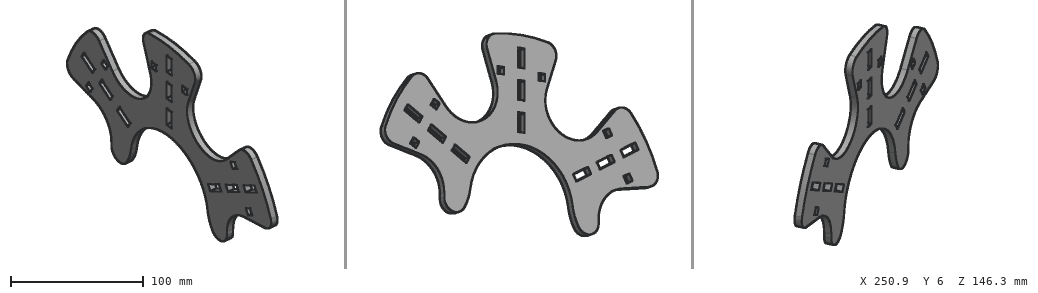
import cadquery as cq
import math

thickness = 6.0
arm_pitch = 60.0

outer_radius = 132.5
inner_radius = 47.5

corner_radius = 9.8
corner_angle = 10.5

scallop_radius = 27.0
scallop_distance = 98.0

foot_radius = 10.0
foot_drop = 3.8
flare_radius = 40.1

slot_width = 5.8
slot_length = 15.3
slot_pitch = 25.0
middle_slot_distance = 89.5
slot_distances = [middle_slot_distance + i * slot_pitch for i in (-1, 0, 1)]
square_size = 5.8
square_distance = 102.3
square_offset = 18.8


def polar(radius, angle):
    """Point at an angle in degrees, measured from +Z towards -X."""
    turn = math.radians(angle)
    return (-radius * math.sin(turn), radius * math.cos(turn))


def point_towards(start, target, length):
    """Point at a given length from start, in the direction of target."""
    scale = length / math.dist(start, target)
    return tuple(s + scale * (t - s) for s, t in zip(start, target))


def circle_crossing(center_a, radius_a, center_b, radius_b):
    """Crossing of two circles on the left of the line from a to b."""
    gap = math.dist(center_a, center_b)
    along = (gap**2 + radius_a**2 - radius_b**2) / (2 * gap)
    across = math.sqrt(radius_a**2 - along**2)
    ux = (center_b[0] - center_a[0]) / gap
    uz = (center_b[1] - center_a[1]) / gap
    return (center_a[0] + along * ux - across * uz, center_a[1] + along * uz + across * ux)


def flank_ends(corner, scallop, side):
    """Corner and scallop ends of their crossing tangent; side is +1 or -1."""
    heading = math.atan2(scallop[1] - corner[1], scallop[0] - corner[0])
    swing = math.acos((corner_radius + scallop_radius) / math.dist(corner, scallop))
    normal = heading + side * swing
    nx = math.cos(normal)
    nz = math.sin(normal)
    corner_end = (corner[0] + corner_radius * nx, corner[1] + corner_radius * nz)
    scallop_end = (scallop[0] - scallop_radius * nx, scallop[1] - scallop_radius * nz)
    return corner_end, scallop_end


def arc_to(path, center, start, end):
    """Add the shorter arc about center from start to end."""
    chord_middle = ((start[0] + end[0]) / 2, (start[1] + end[1]) / 2)
    middle = point_towards(center, chord_middle, math.dist(center, start))
    return path.threePointArc(middle, end)


def half_plate():
    """The -X half of the plate, closed along the Z axis."""
    origin = (0.0, 0.0)
    corner_distance = outer_radius - corner_radius
    top_corner = polar(corner_distance, corner_angle)
    side_upper_corner = polar(corner_distance, arm_pitch - corner_angle)
    side_lower_corner = polar(corner_distance, arm_pitch + corner_angle)
    upper_scallop = polar(scallop_distance, arm_pitch / 2)
    lower_scallop = polar(scallop_distance, 1.5 * arm_pitch)

    crown = (0.0, outer_radius)
    top_corner_start = polar(outer_radius, corner_angle)
    side_arc_start = polar(outer_radius, arm_pitch - corner_angle)
    side_arc_end = polar(outer_radius, arm_pitch + corner_angle)
    top_flank = flank_ends(top_corner, upper_scallop, -1)
    side_upper_flank = flank_ends(side_upper_corner, upper_scallop, 1)
    side_lower_flank = flank_ends(side_lower_corner, lower_scallop, -1)

    foot_edge = scallop_radius - scallop_distance
    foot = (foot_edge + foot_radius, -foot_drop)
    flare = circle_crossing(foot, flare_radius - foot_radius, origin, inner_radius + flare_radius)
    foot_end = point_towards(flare, foot, flare_radius)
    flare_end = point_towards(origin, flare, inner_radius)

    path = cq.Workplane("XZ").moveTo(*crown)
    path = arc_to(path, origin, crown, top_corner_start)
    path = arc_to(path, top_corner, top_corner_start, top_flank[0])
    path = path.lineTo(*top_flank[1])
    path = arc_to(path, upper_scallop, top_flank[1], side_upper_flank[1])
    path = path.lineTo(*side_upper_flank[0])
    path = arc_to(path, side_upper_corner, side_upper_flank[0], side_arc_start)
    path = arc_to(path, origin, side_arc_start, side_arc_end)
    path = arc_to(path, side_lower_corner, side_arc_end, side_lower_flank[0])
    path = path.lineTo(*side_lower_flank[1])
    path = arc_to(path, lower_scallop, side_lower_flank[1], (foot_edge, 0.0))
    path = path.lineTo(foot_edge, -foot_drop)
    path = arc_to(path, foot, (foot_edge, -foot_drop), foot_end)
    path = arc_to(path, flare, foot_end, flare_end)
    path = arc_to(path, origin, flare_end, (0.0, inner_radius))
    return path.close().extrude(thickness / 2, both=True)


def arm_windows():
    """Cutters for the slots and square holes of the upright arm."""
    slots = (
        cq.Workplane("XZ")
        .pushPoints([(0.0, distance) for distance in slot_distances])
        .rect(slot_width, slot_length)
        .extrude(thickness, both=True)
    )
    squares = (
        cq.Workplane("XZ")
        .pushPoints([(side * square_offset, square_distance) for side in (-1, 1)])
        .rect(square_size, square_size)
        .extrude(thickness, both=True)
    )
    return slots.add(squares).combine()


half = half_plate()
result = half.union(half.mirror("YZ")).clean()
for arm in (-1, 0, 1):
    result = result.cut(arm_windows().rotate((0, 0, 0), (0, 1, 0), arm * arm_pitch))